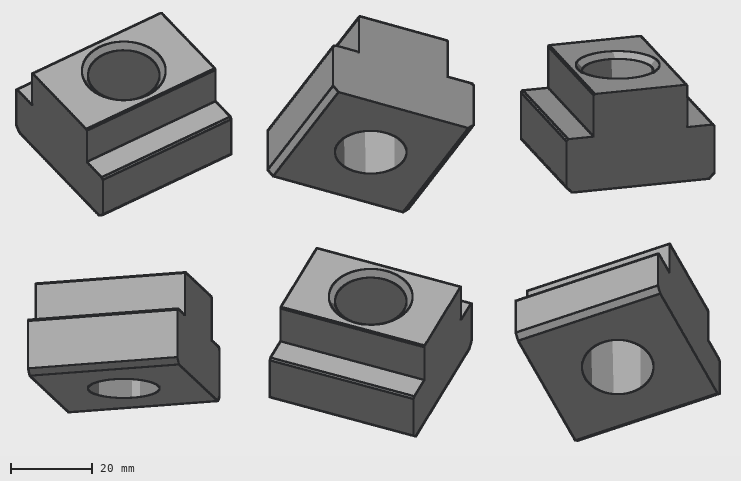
import cadquery as cq

width = 38.0
length = 38.0
height = 25.0

flange_height = 14.0
neck_width = 24.0
bottom_chamfer = 1.5
flange_chamfer = 0.5
neck_chamfer = 0.3

hole_diameter = 17.5
countersink_diameter = 20.52
countersink_depth = (countersink_diameter - hole_diameter) / 2


def make_body():
    """Extrude the T-shaped section along Y, centred on the origin."""
    half_width = width / 2
    half_neck = neck_width / 2
    right_side = [
        (half_width - bottom_chamfer, 0),
        (half_width, bottom_chamfer),
        (half_width, flange_height - flange_chamfer),
        (half_width - flange_chamfer, flange_height),
        (half_neck, flange_height),
        (half_neck, height - neck_chamfer),
        (half_neck - neck_chamfer, height),
    ]
    left_side = [(-x, z) for x, z in reversed(right_side)]
    section = cq.Workplane("XZ").polyline(right_side + left_side).close()
    return section.extrude(length / 2, both=True)


def make_hole():
    """Through hole with a conical mouth at the top."""
    hole_radius = hole_diameter / 2
    half_profile = [
        (0, 0),
        (hole_radius, 0),
        (hole_radius, height - countersink_depth),
        (countersink_diameter / 2, height),
        (0, height),
    ]
    return cq.Workplane("XZ").polyline(half_profile).close().revolve(360, (0, 0), (0, 1))


result = make_body().cut(make_hole())